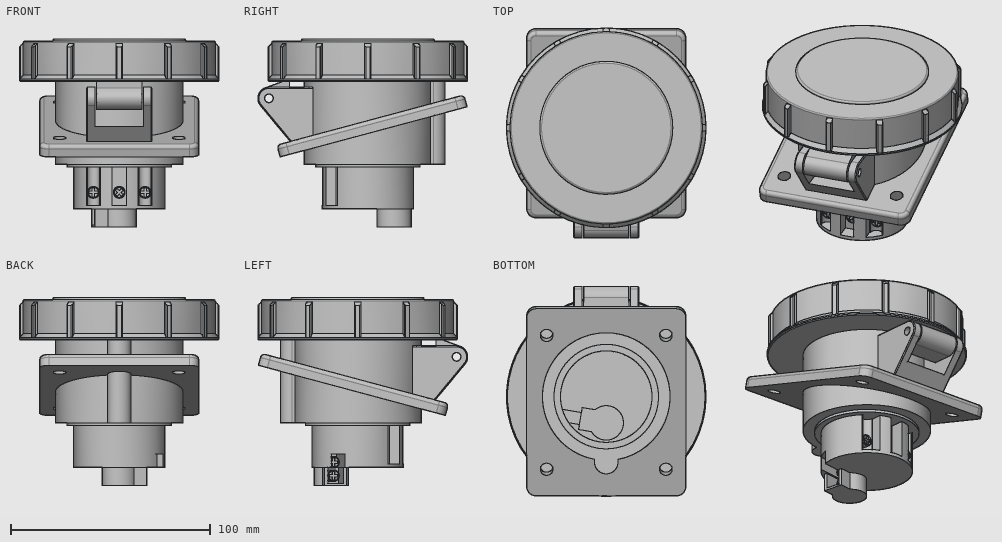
import cadquery as cq
import math

OVERALL_DEPTH = 105.2

CAP_BOTTOM = 72.8
CAP_TOP = 93.1
CAP_RADIUS = 48.2
CAP_EDGE_FILLET = 0.6
FLANGE_DIAMETER = 100.0
FLANGE_RADIUS = FLANGE_DIAMETER / 2
FLANGE_HEIGHT = 1.3
FLANGE_CONE_HEIGHT = 2.1
FLANGE_CHAMFER = 0.5
DISC_RADIUS = 33.3
DISC_HEIGHT = 1.2
DISC_FILLET = 0.9
RIB_COUNT = 12
RIB_WIDTH = 3.2
RIB_EDGE_CHAMFER = 0.5
RIB_TOP = 92.0

HINGE_RADIUS = 5.6
HINGE_Y = FLANGE_RADIUS - OVERALL_DEPTH + HINGE_RADIUS
HINGE_Z = 64.5
PIN_HOLE_RADIUS = 2.1
KNUCKLE_HALF_WIDTH = 11.4
KNUCKLE_BACK_Y = -39.2
KNUCKLE_TOP_Y = -43.1
LUG_INNER_X = 12.1
LUG_OUTER_X = 16.4
LUG_EDGE_CHAMFER = 0.5
LUG_FOOT_Y = -37.1
LUG_FOOT_Z = 40.7
LUG_WINDOW_FLOOR = 50.5

BARREL_RADIUS = 32.0
BARREL_BOTTOM = 31.3
BULGE_RADIUS = 5.9
BULGE_Y = 32.8
PLATE_TILT = 15.0
PLATE_WIDTH = 79.7
PLATE_LENGTH = 97.1
PLATE_THICKNESS = 6.2
PLATE_CORNER_RADIUS = 4.7
PLATE_EDGE_FILLET = 2.1
PLATE_CENTRE_Y = 1.3
PLATE_CENTRE_Z = 53.6
PLATE_HOLE_RADIUS = 3.2
PLATE_HOLE_X = 29.9
PLATE_HOLE_SPACING = 69.4

COLLAR_RADIUS = 26.2
INSERT_TOP = 30.0
INSERT_RADIUS = 22.9
INSERT_BOTTOM = 9.0
SLOT_BOTTOM = 10.8
SLOT_WIDTH = 7.0
TROUGH_RADIUS = 3.0
SLOT_FLOOR_Y = -15.3
SIDE_SLOT_X = 12.9
FRONT_SLOT_XS = (-SIDE_SLOT_X, 0, SIDE_SLOT_X)

BLOCK_RADIUS = 8.6
BLOCK_Y = 13.1
BLOCK_TURN = 9.5
BOX_REACH = 13.1
BOX_HALF_WIDTH = 5.6
POCKET_FLOOR = 1.0
POCKET_TOP = 15.9
POCKET_END = 2.1
LOWER_POCKET_WIDTH = 7.9
UPPER_POCKET_WIDTH = 6.1

SCREW_RADIUS = 2.9
SCREW_CHAMFER = 0.4
CROSS_LENGTH = 4.4
CROSS_WIDTH = 1.3
CROSS_DEPTH = 0.8
MIDDLE_CROSS_TURN = 45.0
FRONT_SCREW_FACE_Y = SLOT_FLOOR_Y
FRONT_SCREW_LENGTH = 6.3
FRONT_SCREW_Z = 17.4
BLOCK_SCREW_FACE = 6.9
BLOCK_SCREW_HEIGHTS = (4.9, 11.7)


def cylinder(radius, bottom, top):
    return cq.Workplane("XY").workplane(offset=bottom).circle(radius).extrude(top - bottom)


def box(x_range, y_range, z_range):
    sizes = [high - low for low, high in (x_range, y_range, z_range)]
    corner = (x_range[0], y_range[0], z_range[0])
    return cq.Workplane("XY").box(*sizes, centered=False).translate(corner)


def extruded_along_x(half_width, points):
    """Closed polygon of (Y, Z) points, extruded evenly to both sides of the YZ plane."""
    return cq.Workplane("YZ").polyline(points).close().extrude(half_width, both=True)


def hinge_cylinder(radius, half_width):
    return cq.Workplane("YZ").center(HINGE_Y, HINGE_Z).circle(radius).extrude(half_width, both=True)


def tangent_point(y, z):
    """Point where the outer tangent from (y, z) touches the hinge circle on its -Y side."""
    distance = math.hypot(y - HINGE_Y, z - HINGE_Z)
    toward = math.atan2(z - HINGE_Z, y - HINGE_Y)
    spread = math.acos(HINGE_RADIUS / distance)
    angle = toward + math.copysign(spread, z - HINGE_Z)
    return (HINGE_Y + HINGE_RADIUS * math.cos(angle), HINGE_Z + HINGE_RADIUS * math.sin(angle))


def cap_rib():
    half = RIB_WIDTH / 2
    flat = half - RIB_EDGE_CHAMFER
    rib = (
        cq.Workplane("XY")
        .workplane(offset=CAP_BOTTOM + FLANGE_HEIGHT)
        .polyline([
            (0, -half),
            (FLANGE_RADIUS - RIB_EDGE_CHAMFER, -half),
            (FLANGE_RADIUS, -flat),
            (FLANGE_RADIUS, flat),
            (FLANGE_RADIUS - RIB_EDGE_CHAMFER, half),
            (0, half),
        ])
        .close()
        .extrude(RIB_TOP - CAP_BOTTOM - FLANGE_HEIGHT)
    )
    slope = FLANGE_RADIUS - CAP_RADIUS
    corner = (
        cq.Workplane("XZ")
        .polyline([
            (CAP_RADIUS, RIB_TOP),
            (FLANGE_RADIUS, RIB_TOP),
            (FLANGE_RADIUS, RIB_TOP - slope),
        ])
        .close()
        .extrude(RIB_WIDTH, both=True)
    )
    return rib.cut(corner)


def hinge_knuckle():
    arm = extruded_along_x(KNUCKLE_HALF_WIDTH, [
        (KNUCKLE_BACK_Y, CAP_BOTTOM),
        (KNUCKLE_TOP_Y, CAP_BOTTOM),
        tangent_point(KNUCKLE_TOP_Y, CAP_BOTTOM),
        (HINGE_Y, HINGE_Z - HINGE_RADIUS),
        (KNUCKLE_BACK_Y, HINGE_Z - HINGE_RADIUS),
    ])
    return (
        arm.union(hinge_cylinder(HINGE_RADIUS, KNUCKLE_HALF_WIDTH))
        .cut(hinge_cylinder(PIN_HOLE_RADIUS, KNUCKLE_HALF_WIDTH))
    )


def make_cap():
    flange_top = CAP_BOTTOM + FLANGE_HEIGHT
    cap = (
        cq.Workplane("XZ")
        .polyline([
            (0, CAP_BOTTOM),
            (FLANGE_RADIUS - FLANGE_CHAMFER, CAP_BOTTOM),
            (FLANGE_RADIUS, CAP_BOTTOM + FLANGE_CHAMFER),
            (FLANGE_RADIUS, flange_top),
            (CAP_RADIUS, flange_top + FLANGE_CONE_HEIGHT),
            (CAP_RADIUS, CAP_TOP),
            (0, CAP_TOP),
        ])
        .close()
        .revolve(360, (0, 0, 0), (0, 1, 0))
        .faces(">Z").edges().fillet(CAP_EDGE_FILLET)
    )
    disc = cylinder(DISC_RADIUS, CAP_TOP, CAP_TOP + DISC_HEIGHT).faces(">Z").edges().fillet(DISC_FILLET)
    cap = cap.union(disc)
    rib = cap_rib()
    for index in range(RIB_COUNT):
        cap = cap.union(rib.rotate((0, 0, 0), (0, 0, 1), index * 360 / RIB_COUNT))
    return cap.union(hinge_knuckle())


def mounting_plate():
    tilt = math.radians(PLATE_TILT)
    top_plane = cq.Plane(
        origin=(0, PLATE_CENTRE_Y, PLATE_CENTRE_Z),
        xDir=(1, 0, 0),
        normal=(0, -math.sin(tilt), math.cos(tilt)),
    )
    plate = (
        cq.Workplane(top_plane)
        .rect(PLATE_WIDTH, PLATE_LENGTH)
        .extrude(-PLATE_THICKNESS)
    )
    upright = cq.selectors.ParallelDirSelector(top_plane.zDir)
    top_face = cq.selectors.DirectionMinMaxSelector(top_plane.zDir)
    plate = plate.edges(upright).fillet(PLATE_CORNER_RADIUS)
    plate = plate.faces(top_face).edges().fillet(PLATE_EDGE_FILLET)
    holes = (
        cq.Workplane(top_plane)
        .rect(2 * PLATE_HOLE_X, PLATE_HOLE_SPACING, forConstruction=True)
        .vertices()
        .circle(PLATE_HOLE_RADIUS)
        .extrude(-PLATE_THICKNESS)
    )
    return plate.cut(holes)


def hinge_lugs():
    """Pair of lugs, joined into one wedge below the window that takes the knuckle."""
    top = HINGE_Z + HINGE_RADIUS
    foot = (LUG_FOOT_Y, LUG_FOOT_Z)
    lugs = extruded_along_x(LUG_OUTER_X, [
        (0, top), (HINGE_Y, top), (HINGE_Y, HINGE_Z), tangent_point(*foot), foot, (0, LUG_FOOT_Z),
    ])
    lugs = lugs.union(hinge_cylinder(HINGE_RADIUS, LUG_OUTER_X)).clean()
    lugs = lugs.faces("<X or >X").edges().chamfer(LUG_EDGE_CHAMFER)
    window = box(
        (-LUG_INNER_X, LUG_INNER_X),
        (HINGE_Y - 2 * HINGE_RADIUS, 0),
        (LUG_WINDOW_FLOOR, top),
    )
    return lugs.cut(window).cut(hinge_cylinder(PIN_HOLE_RADIUS, LUG_OUTER_X))


def barrel():
    round_part = cylinder(BARREL_RADIUS, BARREL_BOTTOM, CAP_BOTTOM)
    bulge = cylinder(BULGE_RADIUS, BARREL_BOTTOM, CAP_BOTTOM).translate((0, BULGE_Y, 0))
    bulge_root = box((-BULGE_RADIUS, BULGE_RADIUS), (0, BULGE_Y), (BARREL_BOTTOM, CAP_BOTTOM))
    return round_part.union(bulge).union(bulge_root)


def front_slot(x, round_floor):
    slot = box(
        (x - SLOT_WIDTH / 2, x + SLOT_WIDTH / 2),
        (-INSERT_RADIUS, SLOT_FLOOR_Y),
        (SLOT_BOTTOM, INSERT_TOP),
    )
    if round_floor:
        trough = cylinder(TROUGH_RADIUS, SLOT_BOTTOM, INSERT_TOP)
        slot = slot.union(trough.translate((x, SLOT_FLOOR_Y, 0)))
    return slot


def place_at_block(body):
    """Turn a body built about the Z axis and move it onto the wire block's axis."""
    return body.rotate((0, 0, 0), (0, 0, 1), BLOCK_TURN).translate((0, BLOCK_Y, 0))


def wire_block():
    block = cylinder(BLOCK_RADIUS, 0, INSERT_BOTTOM)
    side_box = box((-BOX_REACH, 0), (-BOX_HALF_WIDTH, BOX_HALF_WIDTH), (0, INSERT_BOTTOM))
    return place_at_block(block.union(side_box))


def block_pockets():
    lower_half = LOWER_POCKET_WIDTH / 2
    upper_half = UPPER_POCKET_WIDTH / 2
    x_range = (-INSERT_RADIUS, POCKET_END)
    lower = box(x_range, (-lower_half, lower_half), (POCKET_FLOOR, INSERT_BOTTOM))
    upper = box(x_range, (-upper_half, upper_half), (INSERT_BOTTOM, POCKET_TOP))
    return place_at_block(lower.union(upper))


def front_screw_holes():
    return (
        cq.Workplane("XZ", origin=(0, FRONT_SCREW_FACE_Y, 0))
        .pushPoints([(x, FRONT_SCREW_Z) for x in FRONT_SLOT_XS])
        .circle(SCREW_RADIUS)
        .extrude(-FRONT_SCREW_LENGTH)
    )


def make_housing():
    housing = (
        barrel()
        .union(hinge_lugs())
        .union(mounting_plate())
        .union(cylinder(COLLAR_RADIUS, INSERT_TOP, BARREL_BOTTOM))
        .union(cylinder(INSERT_RADIUS, INSERT_BOTTOM, INSERT_TOP))
        .union(wire_block())
    )
    for x in FRONT_SLOT_XS:
        housing = housing.cut(front_slot(x, round_floor=x != 0))
    return housing.cut(front_screw_holes()).cut(block_pockets())


def make_screw(length, cross_turn=0):
    """Screw along Z with its cross-recessed face at Z = 0 and its body below."""
    cross = (
        cq.Workplane("XY")
        .rect(CROSS_LENGTH, CROSS_WIDTH)
        .extrude(-CROSS_DEPTH)
        .union(cq.Workplane("XY").rect(CROSS_WIDTH, CROSS_LENGTH).extrude(-CROSS_DEPTH))
        .rotate((0, 0, 0), (0, 0, 1), cross_turn)
    )
    return cylinder(SCREW_RADIUS, -length, 0).faces(">Z").edges().chamfer(SCREW_CHAMFER).cut(cross)


def make_front_screws():
    screws = []
    for x in FRONT_SLOT_XS:
        cross_turn = MIDDLE_CROSS_TURN if x == 0 else 0
        screw = make_screw(FRONT_SCREW_LENGTH, cross_turn).rotate((0, 0, 0), (1, 0, 0), 90)
        screws.append(screw.translate((x, FRONT_SCREW_FACE_Y, FRONT_SCREW_Z)))
    return screws


def make_block_screws():
    screws = []
    for z in BLOCK_SCREW_HEIGHTS:
        screw = make_screw(BLOCK_SCREW_FACE + POCKET_END).rotate((0, 0, 0), (0, 1, 0), -90)
        screws.append(place_at_block(screw.translate((-BLOCK_SCREW_FACE, 0, z))))
    return screws


cap = make_cap()
housing = make_housing()
screws = make_front_screws() + make_block_screws()
result = cq.Compound.makeCompound([cap.val(), housing.val(), *(screw.val() for screw in screws)])